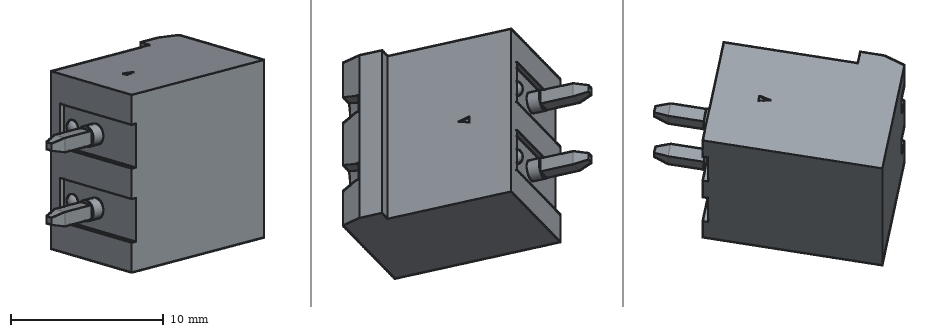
import cadquery as cq


body_width = 7.71
body_depth = 12.0
body_height = 12.16
lip_overhang = 0.89
lip_length = 3.05
lip_chamfer_x = 0.5
lip_chamfer_y = 1.43

pole_count = 2
pole_pitch = 5.07
pole_heights = [(i - (pole_count - 1) / 2) * pole_pitch for i in range(pole_count)]

pocket_left = 0.87
pocket_height = 2.99
pocket_depth = 0.37

dome_x = 1.7
dome_radius = 0.52

pin_x = 3.91
pin_width = 0.99
pin_length = 3.9
pin_tip_width = 0.5
pin_tip_length = 0.99
collar_diameter = 1.42
collar_length = 0.52

slot_mouth_width = 1.94
slot_throat_width = 1.24
slot_taper_depth = 1.11
slot_depth = 1.34
slot_reach = 1.43
slot_end_bulge = 0.09

arrow_base_y = 3.05
arrow_length = 0.76
arrow_width = 0.4
arrow_depth = 0.1
top_arrow_x = 3.85

lip_x = -lip_overhang


def housing():
    outline = [
        (0, 0),
        (body_width, 0),
        (body_width, body_depth),
        (lip_x + lip_chamfer_x, body_depth),
        (lip_x, body_depth - lip_chamfer_y),
        (lip_x, body_depth - lip_length),
        (0, body_depth - lip_length),
    ]
    return cq.Workplane("XY").polyline(outline).close().extrude(body_height / 2, both=True)


def pocket(z):
    width = body_width - pocket_left
    block = cq.Workplane("XY").box(width, pocket_depth, pocket_height, centered=(False, False, True))
    return block.translate((pocket_left, 0, z))


def dome(z):
    return cq.Workplane("XY").sphere(dome_radius).translate((dome_x, dome_radius, z))


def pin(z):
    floor = cq.Workplane("XZ", origin=(pin_x, pocket_depth, z))
    collar = floor.circle(collar_diameter / 2).extrude(pocket_depth + collar_length)
    shank_length = pin_length - pin_tip_length
    shank = floor.rect(pin_width, pin_width).extrude(pocket_depth + shank_length)
    tip = (
        cq.Workplane("XZ", origin=(pin_x, -shank_length, z))
        .rect(pin_width, pin_width)
        .workplane(offset=pin_tip_length)
        .rect(pin_tip_width, pin_tip_width)
        .loft(ruled=True)
    )
    return collar.union(shank).union(tip)


def slot_outline(plane, width):
    """Slot open past the lip, with a shallow rounded end that narrows along with the width."""
    half = width / 2
    end_x = slot_reach - (slot_mouth_width - width) / 2
    bulge_x = end_x + slot_end_bulge * width
    sides = plane.moveTo(0, -half).lineTo(end_x, -half)
    return sides.threePointArc((bulge_x, 0), (end_x, half)).lineTo(0, half).close()


def slot(z):
    mouth = cq.Workplane("XZ", origin=(lip_x, body_depth, z))
    taper = slot_outline(mouth, slot_mouth_width).workplane(offset=slot_taper_depth)
    taper = slot_outline(taper, slot_throat_width).loft(ruled=True)
    throat = slot_outline(mouth, slot_throat_width).extrude(slot_depth)
    return taper.union(throat)


def arrow(plane_name, origin):
    """Arrow pointing to +Y, cut to arrow_depth on both sides of its plane."""
    corners = [(-arrow_width / 2, 0), (arrow_width / 2, 0), (0, arrow_length)]
    if plane_name == "YZ":
        corners = [(along, across) for across, along in corners]
    return cq.Workplane(plane_name, origin=origin).polyline(corners).close().extrude(arrow_depth, both=True)


result = housing()
for pole_z in pole_heights:
    result = result.cut(pocket(pole_z)).cut(slot(pole_z))
    result = result.union(dome(pole_z)).union(pin(pole_z))
result = result.cut(arrow("XY", (top_arrow_x, arrow_base_y, body_height / 2)))
result = result.cut(arrow("YZ", (0, arrow_base_y, 0)))